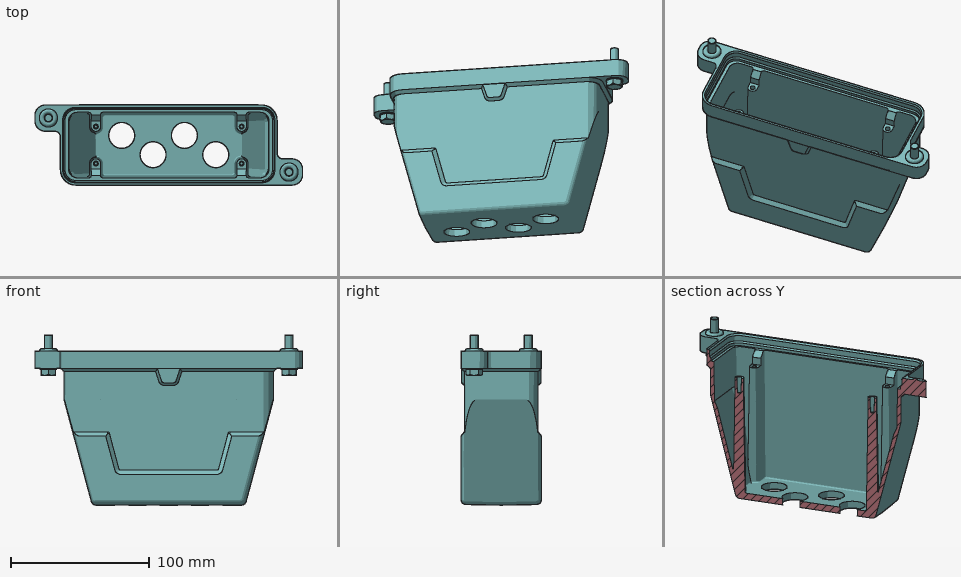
import cadquery as cq
import math


flange_length = 156.3
flange_width = 57.9
flange_thickness = 12.4
flange_corner_radius = 11.2
skirt_size = 2.3

total_length = 193.0
ear_width = 19.1
ear_corner_radius = 7.7
ear_neck_radius = 3.9
screw_x = 86.7
screw_y = 19.5

stud_radius = 3.0
stud_height = 11.8
stud_chamfer = 0.4
seal_ring_radius = 4.6
seal_cord_radius = 2.0
washer_radius = 6.0
washer_thickness = 0.8
head_across_flats = 10.5
head_height = 4.5
head_chamfer = 1.0

hood_depth = 111.0
hood_length = 151.0
hood_width = 53.3
hood_corner_radius = 9.3
shoulder_depth = 35.0
end_slope = 15.0
face_draft = 1.0

band_width = 58.0
band_edge_radius = 3.9
band_top_depth = 58.0
notch_depth = 85.7
notch_top_length = 86.0
border_run = 3.0
notch_corner_radius = 1.5

tab_depth = 24.7
tab_top_length = 20.5
tab_bottom_length = 12.4
tab_projection = 2.1
tab_run = 2.0
tab_corner_radius = 4.2

rim_width = 1.7
lead_in_depth = 1.4
lead_in_run = 0.8
recess_wall_depth = 5.5
recess_foot_depth = 6.5
recess_depth = 8.7
recess_corner_radius = 9.3
recess_foot_run = 1.0

cavity_length = 144.5
cavity_width = 47.3
cavity_corner_radius = 6.5
cavity_draft = 1.0
cavity_depth = 105.5
cavity_shoulder_depth = 37.6
cavity_step_depth = 43.8
cavity_step_length = 138.8
floor_radius = 1.0

post_x = 52.5
post_y = 13.3
post_radius = 3.3
post_draft = 0.9
post_root_radius = 2.0
post_top_depth = 18.3
post_hole_radius = 1.7
post_hole_depth = 11.5
post_hole_draft = 3.0
gusset_crest_y = 21.8
gusset_face_y = 17.4
gusset_foot_depth = 13.0

cable_hole_radius = 9.3
cable_hole_pitch = 22.5
cable_hole_offset = 7.0
cable_hole_count = 4

slope = math.tan(math.radians(end_slope))


def rounded_block(length, width, radius, top, height, taper=0.0):
    """Rounded rectangle extruded down from Z = top, narrowing by the taper angle."""
    outline = cq.Sketch().rect(length, width).vertices().fillet(radius)
    return cq.Workplane("XY", origin=(0, 0, top)).placeSketch(outline).extrude(-height, taper=taper)


def mirrored_xz(right_half):
    """Close an XZ outline from its right half, listed from top to bottom."""
    left_half = [(-x, z) for x, z in reversed(right_half)]
    return right_half + left_half


def both_sides(solid):
    """The solid together with its mirror image across the XZ plane."""
    return solid.union(solid.mirror("XZ"))


def make_flange():
    flange = rounded_block(flange_length, flange_width, flange_corner_radius, 0, flange_thickness)
    ear_end = total_length / 2
    ear_top = flange_width / 2
    ear_root = flange_length / 2 - flange_corner_radius
    ear_bottom = ear_top - ear_width
    ear = (
        cq.Workplane("XY")
        .center(-(ear_end + ear_root) / 2, (ear_top + ear_bottom) / 2)
        .rect(ear_end - ear_root, ear_width)
        .extrude(-flange_thickness)
        .edges("|Z and <X")
        .fillet(ear_corner_radius)
    )
    flange = flange.union(ear).union(ear.rotate((0, 0, 0), (0, 0, 1), 180))
    for side in (-1, 1):
        neck = (side * flange_length / 2, -side * ear_bottom, -flange_thickness / 2)
        flange = flange.edges(cq.selectors.NearestToPointSelector(neck)).fillet(ear_neck_radius)
    skirt = rounded_block(
        hood_length + 2 * skirt_size,
        hood_width + 2 * skirt_size,
        flange_corner_radius,
        -flange_thickness,
        skirt_size,
        taper=45,
    )
    return flange.union(skirt)


def make_wedge():
    """Hood outline in XZ at the full band width, drafted from the mid plane, with rounded lower edges."""
    foot_x = hood_length / 2 - slope * (hood_depth - shoulder_depth)
    outline = mirrored_xz([
        (hood_length / 2, 0),
        (hood_length / 2, -shoulder_depth),
        (foot_x, -hood_depth),
    ])
    half = cq.Workplane("XZ").polyline(outline).close().extrude(band_width / 2, taper=face_draft)
    lower_outer_edges = cq.selectors.BoxSelector(
        (-hood_length, -band_width, -2 * hood_depth), (hood_length, -2, -shoulder_depth - 2)
    )
    return both_sides(half.edges(lower_outer_edges).fillet(band_edge_radius))


def make_shaft():
    """Straight rounded block, drafted from the mid plane, that forms the upper hood walls."""
    half = (
        cq.Workplane("XZ", origin=(0, 0, -hood_depth / 2))
        .rect(hood_length, hood_depth)
        .extrude(hood_width / 2, taper=face_draft)
        .edges("|Z and <Y")
        .fillet(hood_corner_radius)
    )
    return both_sides(half)


def make_notch():
    """Space above the band border, widening outward on the -Y side."""
    corner_x = notch_top_length / 2
    bottom_x = corner_x - slope * (notch_depth - band_top_depth)
    outline = mirrored_xz([
        (total_length, 0),
        (total_length, -band_top_depth),
        (corner_x, -band_top_depth),
        (bottom_x, -notch_depth),
    ])
    inner_corners = cq.selectors.BoxSelector((-hood_length / 2, -hood_depth, -2), (hood_length / 2, -2, 2))
    profile = cq.Sketch().polygon(outline + outline[:1])
    profile = profile.vertices(inner_corners).fillet(notch_corner_radius)
    depth = (band_width - hood_width) / 2
    border_angle = math.degrees(math.atan(border_run / depth))
    return (
        cq.Workplane("XZ", origin=(0, -hood_width / 2, 0))
        .placeSketch(profile)
        .extrude(depth, taper=-border_angle)
    )


def make_hood():
    wedge = make_wedge()
    above_band = (
        cq.Workplane("XY", origin=(0, 0, -band_top_depth))
        .rect(2 * total_length, 2 * band_width)
        .extrude(band_top_depth + 2)
    )
    band = wedge.cut(above_band).cut(both_sides(make_notch()))
    return make_shaft().intersect(wedge).union(band)


def make_tabs():
    side_slope = (tab_top_length - tab_bottom_length) / 2 / (tab_depth - flange_thickness)
    outline = mirrored_xz([
        (tab_top_length / 2 + side_slope * flange_thickness / 2, -flange_thickness / 2),
        (tab_bottom_length / 2, -tab_depth),
    ])
    profile = cq.Sketch().polygon(outline + outline[:1])
    profile = profile.vertices("<Y").fillet(tab_corner_radius)
    face = cq.Workplane("XZ", origin=(0, -hood_width / 2, 0)).placeSketch(profile)
    tab = face.extrude(tab_projection, taper=math.degrees(math.atan(tab_run / tab_projection)))
    return both_sides(tab)


def make_recess():
    mouth_length = flange_length - 2 * rim_width
    mouth_width = flange_width - 2 * rim_width
    wall_length = mouth_length - 2 * lead_in_run
    wall_width = mouth_width - 2 * lead_in_run
    lead_in = rounded_block(
        mouth_length, mouth_width, recess_corner_radius, 0, lead_in_depth,
        taper=math.degrees(math.atan(lead_in_run / lead_in_depth)),
    )
    wall = rounded_block(
        wall_length, wall_width, recess_corner_radius - lead_in_run, 0, recess_wall_depth
    )
    foot_height = recess_foot_depth - recess_wall_depth
    foot = rounded_block(
        wall_length, wall_width, recess_corner_radius - lead_in_run, -recess_wall_depth, foot_height,
        taper=math.degrees(math.atan(recess_foot_run / foot_height)),
    )
    base = rounded_block(
        wall_length - 2 * recess_foot_run,
        wall_width - 2 * recess_foot_run,
        recess_corner_radius - lead_in_run - recess_foot_run,
        -recess_foot_depth,
        recess_depth - recess_foot_depth,
    )
    return lead_in.union(wall).union(foot).union(base)


def make_post():
    """Post at +X, +Y, drafted and joined to the long wall, stepped down in front of its gusset."""
    post = (
        cq.Workplane("XY", origin=(post_x, post_y, -recess_depth))
        .moveTo(-post_radius, cavity_width)
        .lineTo(-post_radius, 0)
        .threePointArc((0, -post_radius), (post_radius, 0))
        .lineTo(post_radius, cavity_width)
        .close()
        .extrude(-hood_depth, taper=-post_draft)
    )
    step = (
        cq.Workplane("YZ", origin=(post_x, 0, 0))
        .polyline([
            (0, -recess_depth),
            (gusset_crest_y, -recess_depth),
            (gusset_face_y, -gusset_foot_depth),
            (gusset_face_y, -post_top_depth),
            (0, -post_top_depth),
        ])
        .close()
        .extrude(2 * post_radius, both=True)
    )
    return post, step


def make_cavity():
    slope_run = slope * (cavity_depth - cavity_step_depth)
    profile = mirrored_xz([
        (cavity_length / 2, 0),
        (cavity_length / 2, -cavity_shoulder_depth),
        (cavity_step_length / 2, -cavity_step_depth),
        (cavity_step_length / 2 - slope_run, -cavity_depth),
    ])
    envelope = cq.Workplane("XZ").polyline(profile).close().extrude(hood_width, both=True)
    drafted_box = (
        cq.Workplane("XY", origin=(0, 0, -recess_depth))
        .rect(cavity_length, cavity_width)
        .extrude(-hood_depth, taper=cavity_draft)
    )
    rounded_hollow = drafted_box.intersect(envelope)
    end_wall_edges = rounded_hollow.edges("not(#Z or |X)").edges("not |Y")
    rounded_hollow = end_wall_edges.fillet(cavity_corner_radius)

    post, step = make_post()
    box_with_posts = drafted_box
    for side in (post, post.mirror("YZ")):
        box_with_posts = box_with_posts.cut(both_sides(side))
    post_roots = cq.selectors.BoxSelector(
        (-cavity_length / 2 + cavity_corner_radius, -cavity_width, -hood_depth),
        (cavity_length / 2 - cavity_corner_radius, cavity_width, -recess_depth - 2),
    )
    wall_edges = cq.selectors.BoxSelector(
        (-cavity_length, -post_y - 2, -hood_depth), (cavity_length, post_y + 2, -recess_depth - 2)
    )
    box_with_posts = box_with_posts.edges(post_roots - wall_edges).fillet(post_root_radius)

    cavity = box_with_posts.intersect(rounded_hollow).faces("<Z").edges().fillet(floor_radius)
    for side in (step, step.mirror("YZ")):
        cavity = cavity.union(both_sides(side))
    return cavity


def make_post_holes():
    return (
        cq.Workplane("XY", origin=(0, 0, -post_top_depth))
        .rect(2 * post_x, 2 * post_y, forConstruction=True)
        .vertices()
        .circle(post_hole_radius)
        .extrude(-post_hole_depth, taper=post_hole_draft)
    )


def make_cable_holes():
    centres = []
    for index in range(cable_hole_count):
        x = (index - (cable_hole_count - 1) / 2) * cable_hole_pitch
        y = cable_hole_offset if index % 2 == 0 else -cable_hole_offset
        centres.append((x, y))
    return (
        cq.Workplane("XY", origin=(0, 0, -hood_depth - 2))
        .pushPoints(centres)
        .circle(cable_hole_radius)
        .extrude(hood_depth)
    )


def make_screw():
    """Screw through an ear, on the Z axis: stud and seal ring above, washer and hex head below."""
    stud = (
        cq.Workplane("XY", origin=(0, 0, -flange_thickness))
        .circle(stud_radius)
        .extrude(flange_thickness + stud_height)
        .faces(">Z")
        .chamfer(stud_chamfer)
    )
    seal_ring = cq.Workplane(cq.Solid.makeTorus(seal_ring_radius, seal_cord_radius))
    washer = (
        cq.Workplane("XY", origin=(0, 0, -flange_thickness))
        .circle(washer_radius)
        .extrude(-washer_thickness)
    )
    head_diameter = head_across_flats / math.cos(math.radians(30))
    head_top = cq.Workplane("XY", origin=(0, 0, -flange_thickness - washer_thickness))
    chamfered_blank = head_top.circle(head_diameter / 2).extrude(-head_height)
    chamfered_blank = chamfered_blank.faces("<Z").chamfer(head_chamfer)
    head = (
        head_top.transformed(rotate=(0, 0, 90))
        .polygon(6, head_diameter)
        .extrude(-head_height)
        .intersect(chamfered_blank)
    )
    return stud.union(seal_ring).union(washer).union(head)


result = make_flange().union(make_hood()).union(make_tabs())
result = result.cut(make_recess()).cut(make_cavity())
result = result.cut(make_post_holes()).cut(make_cable_holes())
for side in (-1, 1):
    result = result.union(make_screw().translate((side * screw_x, -side * screw_y, 0)))